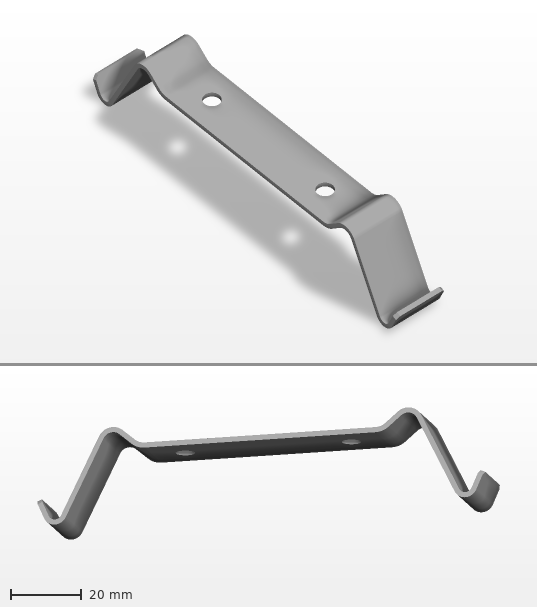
import cadquery as cq
import math

thickness = 1.5
width = 18.0
overall_length = 130.86
overall_height = 27.23

ramp_angle = 40.0
leg_angle = 63.5
lip_angle = 66.0
root_radius = 4.5 + thickness / 2
ridge_radius = 3.0 + thickness / 2
hook_radius = 2.0 + thickness / 2

base_half_length = 33.7
base_top_below_ridge = 5.1
lip_corner_chamfer = 1.2
hole_diameter = 5.5
hole_spacing = 48.5


def sine(angle):
    return math.sin(math.radians(angle))


def cosine(angle):
    return math.cos(math.radians(angle))


def bend_rise(radius, angle):
    """Height gained over a bend that starts or ends horizontal."""
    return radius * (1 - cosine(angle))


ramp_rise = base_top_below_ridge - bend_rise(root_radius, ramp_angle) - bend_rise(ridge_radius, ramp_angle)
ramp_length = ramp_rise / sine(ramp_angle)

leg_drop = (
    overall_height
    - thickness
    - bend_rise(ridge_radius, leg_angle)
    - bend_rise(hook_radius, leg_angle)
)
leg_length = leg_drop / sine(leg_angle)

hook_end = (
    base_half_length
    + (root_radius + ridge_radius) * sine(ramp_angle)
    + ramp_length * cosine(ramp_angle)
    + (ridge_radius + hook_radius) * sine(leg_angle)
    + leg_length * cosine(leg_angle)
    + hook_radius * sine(lip_angle)
)
lip_reach = overall_length / 2 - hook_end - thickness / 2 * sine(lip_angle)
lip_length = lip_reach / cosine(lip_angle)

segments = [
    (base_half_length, ramp_angle, root_radius),
    (ramp_length, -(ramp_angle + leg_angle), ridge_radius),
    (leg_length, leg_angle + lip_angle, hook_radius),
    (lip_length, 0, 0),
]


def offset_point(point, heading, distance):
    """Point at a distance to the left of the heading."""
    return (point[0] - distance * sine(heading), point[1] + distance * cosine(heading))


def face_path(offset):
    """Start point and (bend start, bend middle, bend end) triples of one strip face, and its end point."""
    centre = (0.0, 0.0)
    heading = 0.0
    start = offset_point(centre, heading, offset)
    bends = []
    for length, turn, radius in segments:
        centre = offset_point(centre, heading - 90, length)
        if turn == 0:
            continue
        signed_radius = math.copysign(radius, turn)
        pivot = offset_point(centre, heading, signed_radius)
        bends.append(
            [
                offset_point(pivot, heading + turn * share, offset - signed_radius)
                for share in (0, 0.5, 1)
            ]
        )
        heading += turn
        centre = offset_point(pivot, heading, -signed_radius)
    return start, bends, offset_point(centre, heading, offset)


def half_strip():
    """Right half of the bent strip, extruded across its width."""
    top_start, top_bends, top_end = face_path(thickness / 2)
    bottom_start, bottom_bends, bottom_end = face_path(-thickness / 2)
    outline = cq.Workplane("XZ").moveTo(*top_start)
    for first, middle, last in top_bends:
        outline = outline.lineTo(*first).threePointArc(middle, last)
    outline = outline.lineTo(*top_end).lineTo(*bottom_end)
    for first, middle, last in reversed(bottom_bends):
        outline = outline.lineTo(*last).threePointArc(middle, first)
    outline = outline.lineTo(*bottom_start).close()
    return outline.extrude(width / 2, both=True)


def chamfer_lip_corners(strip):
    """Cut the two corners at the free edge of the lip."""
    across_lip = cq.Vector(-sine(lip_angle), 0, cosine(lip_angle))
    return strip.edges(cq.selectors.ParallelDirSelector(across_lip)).chamfer(lip_corner_chamfer)


def mounting_holes():
    """Cylinders for the two holes through the flat base."""
    return (
        cq.Workplane("XY")
        .pushPoints([(-hole_spacing / 2, 0), (hole_spacing / 2, 0)])
        .circle(hole_diameter / 2)
        .extrude(thickness, both=True)
    )


right_half = chamfer_lip_corners(half_strip())
strip = right_half.union(right_half.mirror("YZ"))
result = strip.cut(mounting_holes())